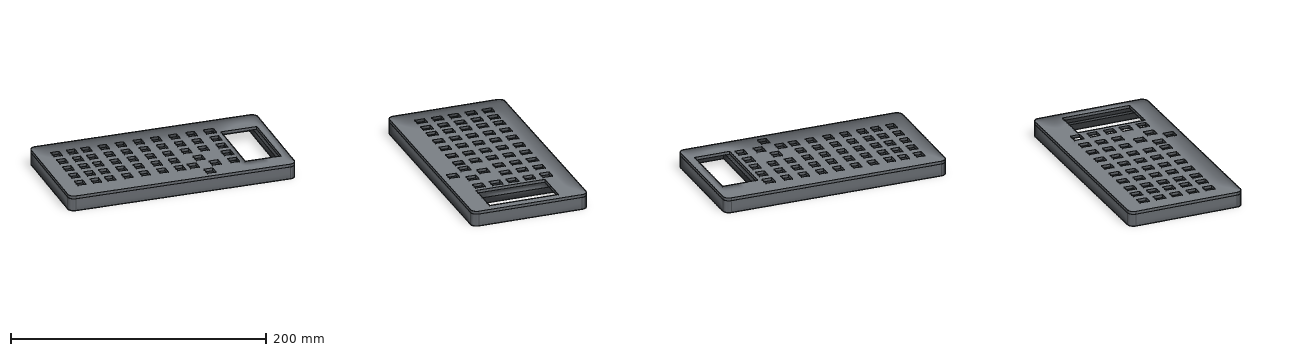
import cadquery as cq

case_width = 96.6
case_length = 188.0
case_height = 12.8
corner_radius = 5.0

cover_thickness = 2.5
tray_height = case_height - cover_thickness
floor_thickness = 5.0
wall_thickness = 2.3
pocket_width = case_width - 2 * wall_thickness
pocket_length = case_length - 2 * wall_thickness

window_width = 57.5
window_length = 29.7
window_x = 2.8
window_y = 72.2
floor_opening_margin = 1.0
floor_opening_length = window_length + 2 * floor_opening_margin

key_width = 8.0
key_length = 6.8
column_count = 5
first_column_x = -29.9
last_column_x = 26.3
column_pitch = (last_column_x - first_column_x) / (column_count - 1)
short_row_columns = 3
columns_x = [first_column_x + column_pitch * column for column in range(column_count)]
top_row_y = 49.6
short_rows_y = [34.4, 20.0]
full_rows_y = [5.0, -9.4, -24.2, -38.5, -52.8, -64.7, -77.6]

top_key_length = 7.1
top_row_columns = [1, 2, 4]
top_left_key_centre = (first_column_x, top_row_y)
top_left_key_width = 8.0
top_left_key_length = 8.3
wide_top_key_centre = (11.8, 49.5)
wide_top_key_width = 8.6
wide_top_key_length = 7.7

arrow_key_width = 8.3
arrow_key_length = 7.3
arrow_key_centres = [(26.0, 34.4), (39.0, 25.5), (13.3, 25.4), (25.8, 16.4)]


def rounded_slab(width, length, height, radius, base_z):
    slab = cq.Workplane("XY", origin=(0, 0, base_z)).rect(width, length).extrude(height)
    return slab.edges("|Z").fillet(radius)


def cut_cover_holes(cover, centres, width, length):
    """Cut one rectangular hole through the cover at each centre."""
    holes = (
        cq.Workplane("XY", origin=(0, 0, tray_height))
        .pushPoints(centres)
        .rect(width, length)
        .extrude(cover_thickness)
    )
    return cover.cut(holes)


def make_tray():
    tray = rounded_slab(case_width, case_length, tray_height, corner_radius, 0)
    pocket = rounded_slab(
        pocket_width,
        pocket_length,
        tray_height - floor_thickness,
        corner_radius - wall_thickness,
        floor_thickness,
    )
    floor_opening = (
        cq.Workplane("XY")
        .center(0, window_y)
        .rect(pocket_width, floor_opening_length)
        .extrude(floor_thickness)
    )
    return tray.cut(pocket).cut(floor_opening)


def make_cover():
    cover = rounded_slab(case_width, case_length, cover_thickness, corner_radius, tray_height)
    cover = cut_cover_holes(cover, [(window_x, window_y)], window_width, window_length)

    top_row = [(columns_x[column], top_row_y) for column in top_row_columns]
    cover = cut_cover_holes(cover, top_row, key_width, top_key_length)
    cover = cut_cover_holes(cover, [top_left_key_centre], top_left_key_width, top_left_key_length)
    cover = cut_cover_holes(cover, [wide_top_key_centre], wide_top_key_width, wide_top_key_length)

    short_rows = [(x, y) for y in short_rows_y for x in columns_x[:short_row_columns]]
    full_rows = [(x, y) for y in full_rows_y for x in columns_x]
    cover = cut_cover_holes(cover, short_rows + full_rows, key_width, key_length)

    return cut_cover_holes(cover, arrow_key_centres, arrow_key_width, arrow_key_length)


tray = make_tray()
cover = make_cover()

result = cq.Compound.makeCompound([tray.val(), cover.val()])